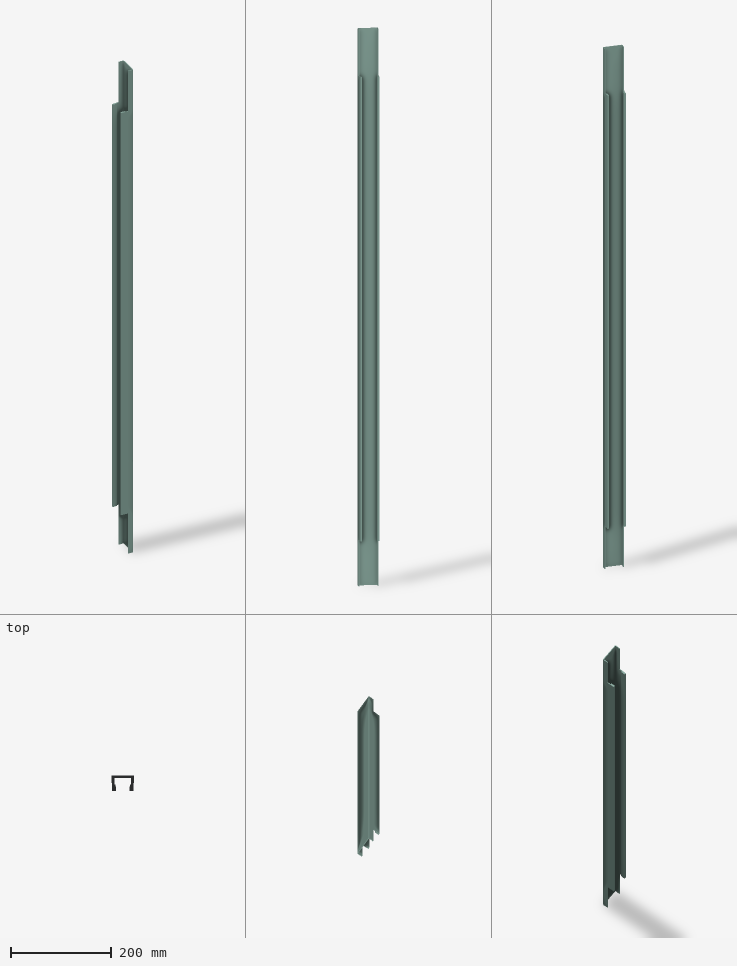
import cadquery as cq
import math

length = 1128.6
width = 40.54
depth = 27.0
sheet = 1.5
bend_radius = 2.0
toe_in_angle = 2.5
notch_length = 94.0
short_depth = 11.5
strip_width = 9.0
strip_thickness = 2.0
margin = 3.0

lean = math.radians(toe_in_angle)
full_flange_length = length - 2 * notch_length
front = -depth / 2
back = depth / 2
inner_bend_radius = bend_radius - sheet

face_x_at_bend = width / 2 + bend_radius * (1 / math.cos(lean) - 1)
tip_x = face_x_at_bend - (depth - bend_radius) * math.tan(lean)


def flange_point(inward, up):
    """XY point of the +X flange: inward from its outer face, up from its tip to the web."""
    x = tip_x - inward * math.cos(lean) + up * math.sin(lean)
    y = front + inward * math.sin(lean) + up * math.cos(lean)
    return (x, y)


def face_point(inward, y):
    """Point at the given y on the line parallel to the outer flange face, offset inward."""
    start_y = front + inward * math.sin(lean)
    return flange_point(inward, (y - start_y) / math.cos(lean))


def mirrored(point):
    return (-point[0], point[1])


def prism(points, height):
    """Prism along Z, centred on Z = 0."""
    return cq.Workplane("XY").polyline(points).close().extrude(height / 2, both=True)


def flange_block(side, inward_range, up_range, height):
    """Block aligned with one flange; side is +1 for the +X flange, -1 for the -X flange."""
    inward_start, inward_end = inward_range
    up_start, up_end = up_range
    corners = [
        flange_point(inward_start, up_start),
        flange_point(inward_end, up_start),
        flange_point(inward_end, up_end),
        flange_point(inward_start, up_end),
    ]
    if side < 0:
        corners = [mirrored(corner) for corner in corners]
    return prism(corners, height)


def rounded_envelope(inward, back_y, corner_radius):
    """Trapezoid prism between the leaning flange faces, rounded at its two back edges."""
    front_corner = face_point(inward, front - margin)
    back_corner = face_point(inward, back_y)
    outline = [front_corner, back_corner, mirrored(back_corner), mirrored(front_corner)]
    return prism(outline, length).edges("|Z and >Y").fillet(corner_radius)


def make_channel():
    """Bent sheet channel, open to -Y, with its flanges cut short at both ends."""
    outside = rounded_envelope(0, back, bend_radius)
    inside = rounded_envelope(sheet, back - sheet, inner_bend_radius)
    channel = outside.cut(inside)
    across_sheet = (-margin, sheet + margin)
    for side in (-1, 1):
        channel = channel.cut(flange_block(side, across_sheet, (-2 * margin, 0), length))
        notch = flange_block(side, across_sheet, (-margin, depth - short_depth), notch_length)
        for end in (-1, 1):
            notch_centre_z = end * (length - notch_length) / 2
            channel = channel.cut(notch.translate((0, 0, notch_centre_z)))
    return channel.solids()


def make_edge_strip(side):
    """Flat strip on the inner face of one flange, flush with its tip and its ends."""
    across_strip = (sheet, sheet + strip_thickness)
    return flange_block(side, across_strip, (0, strip_width), full_flange_length)


channel = make_channel()
edge_strips = [make_edge_strip(side) for side in (-1, 1)]

result = cq.Compound.makeCompound([channel.val(), *[strip.val() for strip in edge_strips]])